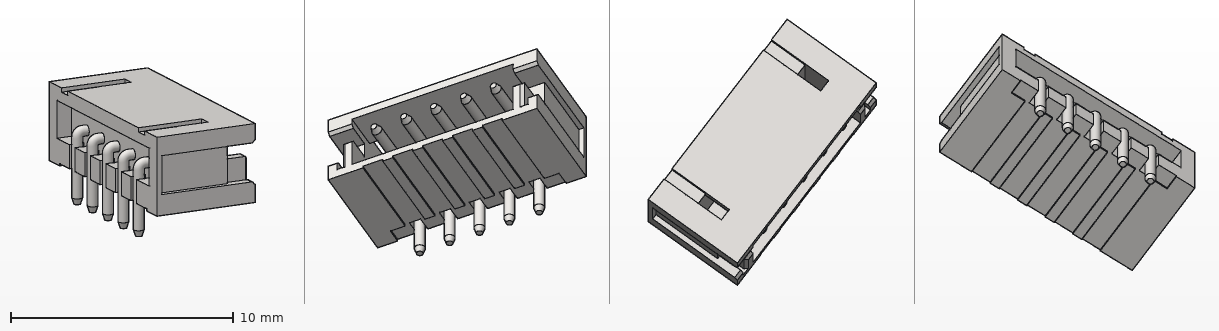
import cadquery as cq

length = 10.5
depth = 5.0
height = 3.7
half_length = length / 2

pin_count = 5
pin_pitch = 1.5
pin_diameter = 0.5
pin_radius = pin_diameter / 2
tip_diameter = 0.3
tip_length = 0.3
tail_drop = 1.5
tail_y = pin_radius
bend_radius = 0.26
bend_z = 1.88
contact_z = 2.45
contact_end_y = 4.89

pocket_margin = 0.75
pocket_depth = 0.74
pocket_floor_z = 1.23
pocket_top_z = 3.0
pin_slot_width = 0.56

relief_height = 0.1
relief_margin = 1.01
pin_groove_width = 1.0

cavity_back_y = 1.89
cavity_margin = 1.2
cavity_skin = 0.45
cavity_half = half_length - cavity_margin

latch_width = 0.6
latch_end_y = 3.21
latch_depth = 0.2

side_recess_depth = 0.25
side_back_y = 0.25
side_front_y = 3.71
side_bottom_z = 0.99
side_top_z = 2.8
inner_wall_offset = 0.69
inner_wall_top_z = 2.01
lip_thickness = 0.44
mouth_chamfer = 0.15

pin_xs = [pin_pitch * (i - (pin_count - 1) / 2) for i in range(pin_count)]


def box(x_range, y_range, z_range):
    """Box spanning the given coordinate ranges."""
    corner = (x_range[0], y_range[0], z_range[0])
    size = [r[1] - r[0] for r in (x_range, y_range, z_range)]
    return cq.Workplane("XY").box(*size, centered=False).translate(corner)


def centered_span(center, width):
    return (center - width / 2, center + width / 2)


def mirrored_pair(solid):
    """A feature at the -X end together with its mirror image at the +X end."""
    return solid.union(solid.mirror("YZ"))


def back_cuts():
    """Shallow pocket in the back face, open below through one slot per pin."""
    pocket_half = half_length - pocket_margin
    cuts = box((-pocket_half, pocket_half), (0, pocket_depth), (pocket_floor_z, pocket_top_z))
    for x in pin_xs:
        cuts = cuts.union(box(centered_span(x, pin_slot_width), (0, pocket_depth), (0, pocket_top_z)))
    return cuts


def underside_cuts():
    """Raised strip along the back edge and a full-depth groove under each pin."""
    relief_half = half_length - relief_margin
    cuts = box((-relief_half, relief_half), (0, pocket_depth), (0, relief_height))
    for x in pin_xs:
        cuts = cuts.union(box(centered_span(x, pin_groove_width), (0, depth), (0, relief_height)))
    return cuts


def cavity_cut():
    """Mating cavity open to +Y."""
    return box((-cavity_half, cavity_half), (cavity_back_y, depth), (cavity_skin, height - cavity_skin))


def latch_slot_cuts():
    """Top slots, shallow over the back wall and open into the cavity in front of it."""
    x_range = (-cavity_half, -cavity_half + latch_width)
    channel = box(x_range, (0, latch_end_y), (height - latch_depth, height))
    window = box(x_range, (cavity_back_y, latch_end_y), (height - cavity_skin, height))
    return mirrored_pair(channel.union(window))


def side_cuts():
    """Shallow side recesses that become through openings near the mouth."""
    recess = box(
        (-half_length, -half_length + side_recess_depth),
        (side_back_y, side_front_y),
        (side_bottom_z, side_top_z),
    )
    chamfer_y = depth - mouth_chamfer
    opening = (
        cq.Workplane("YZ")
        .polyline([
            (side_front_y, side_bottom_z),
            (chamfer_y, side_bottom_z),
            (depth, side_bottom_z - mouth_chamfer),
            (depth, side_top_z + mouth_chamfer),
            (chamfer_y, side_top_z),
            (side_front_y, side_top_z),
        ])
        .close()
        .extrude(cavity_margin)
        .translate((-half_length, 0, 0))
    )
    wall_space = box(
        (-half_length + lip_thickness, -cavity_half),
        (side_front_y, depth),
        (cavity_skin, side_bottom_z),
    )
    return mirrored_pair(recess.union(opening).union(wall_space))


def inner_walls():
    """Low cavity side walls with bevelled top and outer edges at the mouth."""
    wall = box(
        (-half_length + inner_wall_offset, -cavity_half),
        (side_front_y, depth),
        (cavity_skin, inner_wall_top_z),
    )
    wall = wall.faces(">Y").edges("<X or >Z").chamfer(mouth_chamfer)
    return mirrored_pair(wall)


def rod(plane, origin, extent):
    """Round pin length grown along the plane's normal."""
    return cq.Workplane(plane, origin=origin).circle(pin_radius).extrude(extent)


def tapered_tip(plane, origin):
    """Conical pin end grown against the plane's normal."""
    base = cq.Workplane(plane, origin=origin).circle(pin_radius)
    return base.workplane(offset=-tip_length).circle(tip_diameter / 2).loft()


def pin(x):
    """Bent solder tail behind the back wall and straight contact in front of it."""
    tail_bottom = (x, tail_y, tip_length - tail_drop)
    tail_top = (x, tail_y, bend_z - bend_radius)
    bend_end = (x, tail_y + bend_radius, bend_z)
    contact_shoulder = (x, contact_end_y - tip_length, contact_z)

    tail = rod("XY", tail_bottom, tail_top[2] - tail_bottom[2])
    bend = (
        cq.Workplane("XY", origin=tail_top)
        .circle(pin_radius)
        .revolve(90, (0, bend_radius, 0), (-1, bend_radius, 0))
    )
    root = rod("XZ", bend_end, bend_end[1] - cavity_back_y)
    contact = rod("XZ", contact_shoulder, contact_shoulder[1] - pocket_depth)

    tail = tail.union(tapered_tip("XY", tail_bottom)).union(bend).union(root)
    return tail.union(contact).union(tapered_tip("XZ", contact_shoulder))


housing = box((-half_length, half_length), (0, depth), (0, height))
for cut in (back_cuts(), underside_cuts(), cavity_cut(), latch_slot_cuts(), side_cuts()):
    housing = housing.cut(cut)

result = housing.union(inner_walls())
for pin_x in pin_xs:
    result = result.union(pin(pin_x))